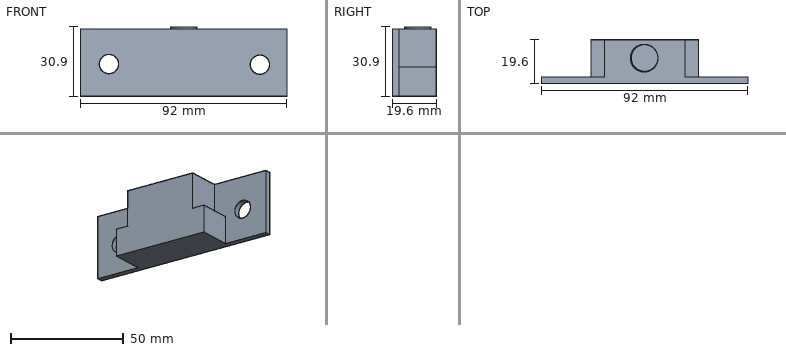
import cadquery as cq

plate_length = 92.0
plate_thickness = 3.0
height = 30.0
screw_hole_diameter = 8.5
screw_hole_centers = [(-33.3, 14.35), (33.9, 14.1)]

overall_depth = 19.6
block_depth = overall_depth - plate_thickness
block_width = 35.7
foot_width = 47.9
foot_height = 13.0

pin_diameter = 11.9
pin_protrusion = 0.9
pin_x = -0.1
pin_y = 11.4
bore_diameter = 12.3
bore_floor = foot_height
bore_x = pin_x - 0.2
bore_y = pin_y - 0.1


def box_on_base(width, depth, box_height, front_y):
    """Box centred on X, standing on Z = 0 with its front face at front_y."""
    return (
        cq.Workplane("XY")
        .box(width, depth, box_height, centered=(True, False, False))
        .translate((0, front_y, 0))
    )


def upright_cylinder(x, y, diameter, bottom, top):
    """Vertical cylinder between the heights bottom and top."""
    return cq.Workplane("XY", origin=(x, y, bottom)).circle(diameter / 2).extrude(top - bottom)


def make_housing():
    """Plate and stepped block in one piece, with screw holes and pin bore."""
    plate = box_on_base(plate_length, plate_thickness, height, 0)
    screw_holes = (
        cq.Workplane("XZ")
        .pushPoints(screw_hole_centers)
        .circle(screw_hole_diameter / 2)
        .extrude(-plate_thickness)
    )
    block = box_on_base(block_width, block_depth, height, plate_thickness)
    foot = box_on_base(foot_width, block_depth, foot_height, plate_thickness)
    bore = upright_cylinder(bore_x, bore_y, bore_diameter, bore_floor, height)
    return plate.union(block).union(foot).cut(screw_holes).cut(bore)


def make_pin():
    """Plain pin standing on the bore floor and proud of the housing top."""
    return upright_cylinder(pin_x, pin_y, pin_diameter, bore_floor, height + pin_protrusion)


housing = make_housing()
pin = make_pin()

result = cq.Compound.makeCompound([housing.val(), pin.val()])